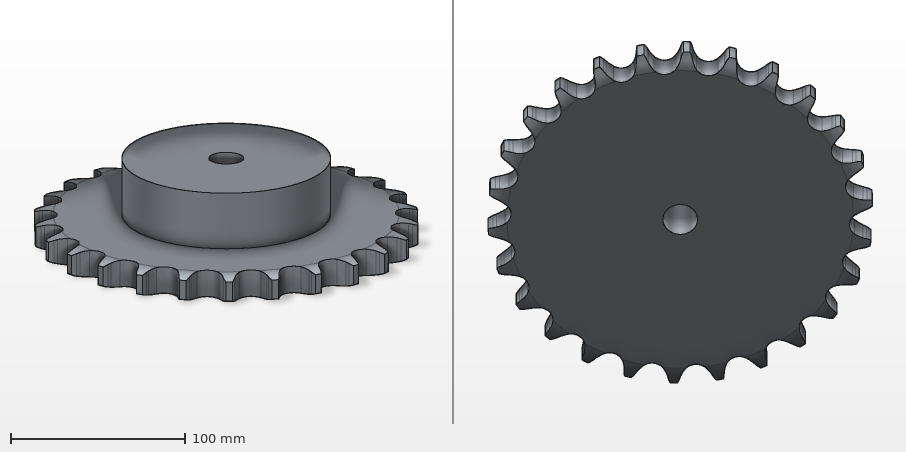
import cadquery as cq
import math


tooth_count = 26
outer_diameter = 221.5
pitch_diameter = 210.7
roller_diameter = 16.0
plate_thickness = 16.2
flat_face_diameter = 199.0
rim_relief = 2.2
hub_diameter = 120.0
bore_diameter = 20.0
total_height = 50.0

outer_radius = outer_diameter / 2
pitch_radius = pitch_diameter / 2
flat_face_radius = flat_face_diameter / 2
pitch_angle = 360 / tooth_count

seating_radius = 0.5025 * roller_diameter
working_radius = 1.3025 * roller_diameter
seating_angle = math.radians(90 - (35 + 60 / tooth_count))
working_sweep = math.radians(18 - 56 / tooth_count)
topping_lean = math.radians(17 - 64 / tooth_count)
straight_length = roller_diameter * (1.4 * math.sin(topping_lean) - 0.8 * math.sin(working_sweep))
topping_radius = roller_diameter * (
    0.8 * math.cos(working_sweep) + 1.4 * math.cos(topping_lean) - 1.3025
)
topping_sweep = math.radians(40)


def offset(point, distance, angle):
    """Move a point along the wall normal; the angle is measured from the inward radial line."""
    return (point[0] - distance * math.cos(angle), point[1] + distance * math.sin(angle))


def mirrored(point):
    return (point[0], -point[1])


def rim_blank():
    """Plate disc whose faces round off, tangent to the flat, toward the rim."""
    relief_width = outer_radius - flat_face_radius
    relief_radius = (relief_width**2 + rim_relief**2) / (2 * rim_relief)
    half_angle = math.asin(relief_width / relief_radius) / 2
    mid_radius = flat_face_radius + relief_radius * math.sin(half_angle)
    mid_drop = relief_radius * (1 - math.cos(half_angle))
    return (
        cq.Workplane("XZ")
        .lineTo(flat_face_radius, 0)
        .threePointArc((mid_radius, mid_drop), (outer_radius, rim_relief))
        .lineTo(outer_radius, plate_thickness - rim_relief)
        .threePointArc(
            (mid_radius, plate_thickness - mid_drop),
            (flat_face_radius, plate_thickness),
        )
        .lineTo(0, plate_thickness)
        .close()
        .revolve(360, (0, 0, 0), (0, 1, 0))
    )


def tooth_gap():
    """Cutter for one tooth gap, symmetric about the +X axis."""
    straight_angle = seating_angle + working_sweep
    roller_center = (pitch_radius, 0)
    root = offset(roller_center, seating_radius, 0)
    seat_mid = offset(roller_center, seating_radius, seating_angle / 2)
    seat_end = offset(roller_center, seating_radius, seating_angle)

    working_center = offset(seat_end, -working_radius, seating_angle)
    working_mid = offset(working_center, working_radius, seating_angle + working_sweep / 2)
    working_end = offset(working_center, working_radius, straight_angle)

    straight_end = (
        working_end[0] + straight_length * math.sin(straight_angle),
        working_end[1] + straight_length * math.cos(straight_angle),
    )
    topping_center = offset(straight_end, topping_radius, straight_angle)
    topping_mid = offset(topping_center, -topping_radius, straight_angle - topping_sweep / 2)
    topping_end = offset(topping_center, -topping_radius, straight_angle - topping_sweep)

    return (
        cq.Workplane("XY")
        .moveTo(*root)
        .threePointArc(seat_mid, seat_end)
        .threePointArc(working_mid, working_end)
        .lineTo(*straight_end)
        .threePointArc(topping_mid, topping_end)
        .lineTo(*mirrored(topping_end))
        .threePointArc(mirrored(topping_mid), mirrored(straight_end))
        .lineTo(*mirrored(working_end))
        .threePointArc(mirrored(working_mid), mirrored(seat_end))
        .threePointArc(mirrored(seat_mid), root)
        .close()
        .extrude(plate_thickness)
    )


sprocket = rim_blank()
gap = tooth_gap()
for index in range(tooth_count):
    gap_angle = (index + 0.5) * pitch_angle
    sprocket = sprocket.cut(gap.rotate((0, 0, 0), (0, 0, 1), gap_angle))

hub = cq.Workplane("XY").circle(hub_diameter / 2).extrude(total_height)
sprocket = sprocket.union(hub)

bore = cq.Workplane("XY").circle(bore_diameter / 2).extrude(total_height)
result = sprocket.cut(bore)